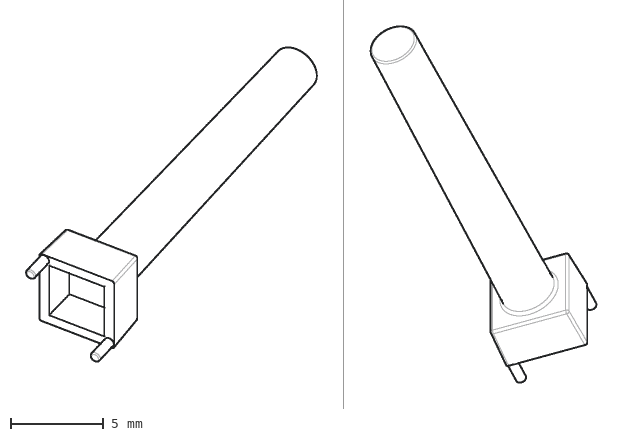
import cadquery as cq

total_length = 24.5
block_size = 4.7
block_length = 2.67
pin_length = 1.5
pin_diameter = 0.6
pin_edge_gap = 0.02

draft_angle = 2.0
block_edge_radius = 0.15
pocket_size = 3.48
pocket_depth = 2.0

tube_base_diameter = 3.05
tube_end_diameter = 2.65
tube_root_radius = 0.17
tube_end_radius = 0.1
pin_tip_radius = 0.07

block_front = pin_length
block_back = block_front + block_length
tube_length = total_length - block_back
pin_offset = (block_size - pin_diameter) / 2 - pin_edge_gap


def plane_facing_back(y):
    """Plane square to Y whose normal points along +Y and whose local x is X."""
    return cq.Plane(origin=(0, y, 0), xDir=(1, 0, 0), normal=(0, 1, 0))


def drafted_square(size, length):
    """Square prism that starts at the block front and narrows towards +Y."""
    return cq.Workplane(plane_facing_back(block_front)).rect(size, size).extrude(length, taper=draft_angle)


def make_block():
    block = drafted_square(block_size, block_length)
    return block.edges("not <Y").fillet(block_edge_radius)


def make_tube():
    """Solid tapered rod with a rounded free end."""
    base = cq.Workplane(plane_facing_back(block_back)).circle(tube_base_diameter / 2)
    tube = base.workplane(offset=tube_length).circle(tube_end_diameter / 2).loft()
    return tube.faces(">Y").edges().fillet(tube_end_radius)


def make_pin(side):
    """Round-tipped pin in the corner at x = side * offset, z = -side * offset."""
    pin = cq.Workplane(plane_facing_back(0)).circle(pin_diameter / 2).extrude(pin_length)
    pin = pin.faces("<Y").edges().fillet(pin_tip_radius)
    return pin.translate((side * pin_offset, 0, -side * pin_offset))


body = make_block().union(make_tube())
root_edge = cq.selectors.BoxSelector(
    (-tube_base_diameter, block_back - tube_root_radius / 2, -tube_base_diameter),
    (tube_base_diameter, block_back + tube_root_radius / 2, tube_base_diameter),
)
body = body.edges(root_edge).edges("%CIRCLE").fillet(tube_root_radius)

body = body.cut(drafted_square(pocket_size, pocket_depth))
for side in (-1, 1):
    body = body.union(make_pin(side))

result = body